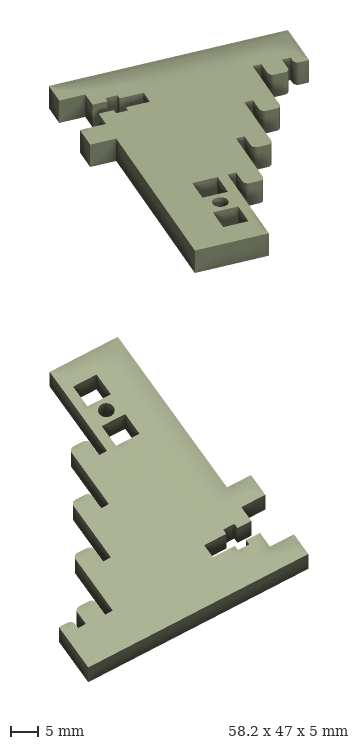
import cadquery as cq

length = 58.2
height = 47.0
thickness = 5.0

foot_width = 5.0
foot_height = 5.1
foot_gap = 10.0
beam_top = 19.7

tooth_pitch = 5.7
notch_height = 1.7
tooth_overhang = 4.0
tooth_radius = 1.0
step_run = 10.0
lowest_tooth_tip = 42.2
full_step_count = 4
top_tooth_tip = 10.25
top_notch_depth = 2.0

slot_width = 3.0
slot_top = 15.2
nut_width = 5.2
nut_height = 2.4
nut_bottom = 8.1

window_size = 5.0
window_spacing = 10.0
hole_diameter = 3.0
window_center_x = 45.75
window_center_y = slot_top


def block(x_min, x_max, y_min, y_max):
    """Full-thickness box between the given X and Y limits."""
    return (
        cq.Workplane("XY")
        .box(x_max - x_min, y_max - y_min, thickness, centered=False)
        .translate((x_min, y_min, 0))
    )


def stair_step(index):
    """One row of the staircase: a notch neck below a tooth with rounded tip."""
    tip = lowest_tooth_tip - index * step_run
    notch_bottom = beam_top + index * tooth_pitch
    tooth_bottom = notch_bottom + notch_height
    tooth_top = notch_bottom + tooth_pitch
    tooth = block(0, tip, tooth_bottom, tooth_top).edges("|Z and >X").fillet(tooth_radius)
    neck = block(0, tip - tooth_overhang, notch_bottom, tooth_bottom)
    return neck.union(tooth)


def top_tooth():
    """Tooth at the upper end, rounded only on its lower corner."""
    notch_bottom = beam_top + full_step_count * tooth_pitch
    tooth_bottom = notch_bottom + notch_height
    neck = block(0, top_tooth_tip - top_notch_depth, notch_bottom, tooth_bottom)
    tooth = block(0, top_tooth_tip, tooth_bottom, height)
    tooth = tooth.edges("|Z").edges(">X").edges("<Y").fillet(tooth_radius)
    return neck.union(tooth)


body = block(0, length, foot_height, beam_top)
for foot_left in (0, foot_width + foot_gap):
    body = body.union(block(foot_left, foot_left + foot_width, 0, foot_height))

for step in range(full_step_count):
    body = body.union(stair_step(step))
body = body.union(top_tooth())

slot_center = foot_width + foot_gap / 2
body = body.cut(block(slot_center - slot_width / 2, slot_center + slot_width / 2, foot_height, slot_top))
body = body.cut(
    block(slot_center - nut_width / 2, slot_center + nut_width / 2, nut_bottom, nut_bottom + nut_height)
)

windows = (
    cq.Workplane("XY")
    .center(window_center_x, window_center_y)
    .rarray(window_spacing, 0.6, 2, 1)
    .rect(window_size, window_size)
    .extrude(thickness)
)
hole = (
    cq.Workplane("XY")
    .center(window_center_x, window_center_y)
    .circle(hole_diameter / 2)
    .extrude(thickness)
)

result = body.cut(windows).cut(hole).clean()